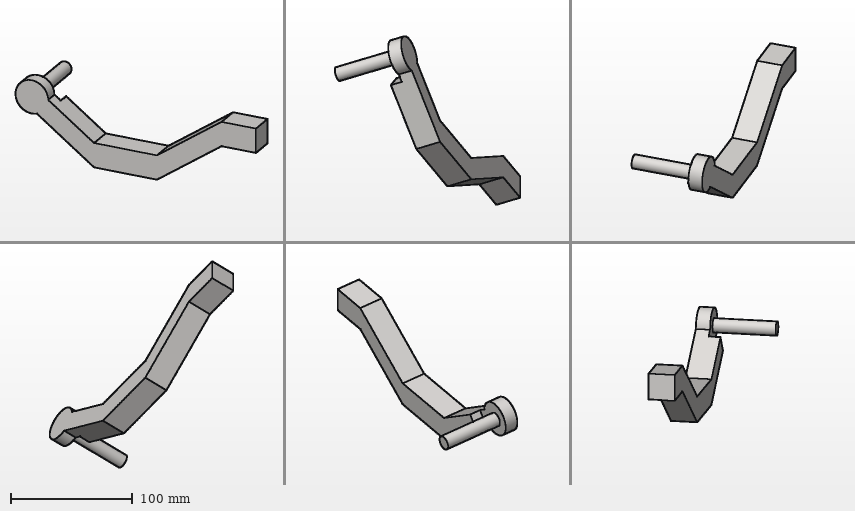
import cadquery as cq
import math

total_length = 220.0
total_depth = 65.0
total_height = 67.5

bar_height = 22.0
bar_depth = 22.0
low_span_start_x = 72.0
low_span_end_x = 129.5
high_span_start_x = 188.5
high_span_z = 41.5
left_slope = 0.732

disc_diameter = 30.0
disc_thickness = 12.0
pin_diameter = 12.0
pin_offset_x = -1.0

bar_end_x = 25.2

disc_x = disc_diameter / 2
disc_z = total_height - disc_diameter / 2
pin_length = total_depth - disc_thickness


def extrude_back(sketch, start_y, length):
    """Extrude an XZ sketch along +Y, beginning at start_y."""
    return sketch.extrude(-length).translate((0, start_y, 0))


def cylinder_along_y(x, z, diameter, start_y, length):
    sketch = cq.Workplane("XZ").center(x, z).circle(diameter / 2)
    return extrude_back(sketch, start_y, length)


def make_bar():
    slope_angle = math.atan(left_slope)
    bar_end_z = left_slope * (low_span_start_x - bar_end_x)

    end_face_width = bar_height * math.cos(slope_angle)
    end_top_x = bar_end_x + end_face_width * math.sin(slope_angle)
    end_top_z = bar_end_z + end_face_width * math.cos(slope_angle)

    outline = [
        (bar_end_x, bar_end_z),
        (low_span_start_x, 0),
        (low_span_end_x, 0),
        (high_span_start_x, high_span_z),
        (total_length, high_span_z),
        (total_length, high_span_z + bar_height),
        (high_span_start_x, high_span_z + bar_height),
        (low_span_end_x, bar_height),
        (low_span_start_x, bar_height),
        (end_top_x, end_top_z),
    ]
    return extrude_back(cq.Workplane("XZ").polyline(outline).close(), 0, bar_depth)


def make_neck():
    """Continue the front layer of the left slope into the disc."""
    neck_root_z = left_slope * (low_span_start_x - disc_x)
    outline = [
        (disc_x, neck_root_z),
        (low_span_start_x, 0),
        (low_span_start_x, bar_height),
        (disc_x, neck_root_z + bar_height),
    ]
    return extrude_back(cq.Workplane("XZ").polyline(outline).close(), 0, disc_thickness)


bar = make_bar()
disc = cylinder_along_y(disc_x, disc_z, disc_diameter, 0, disc_thickness)
pin = cylinder_along_y(disc_x + pin_offset_x, disc_z, pin_diameter, disc_thickness, pin_length)

result = bar.union(make_neck()).union(disc).union(pin).clean()